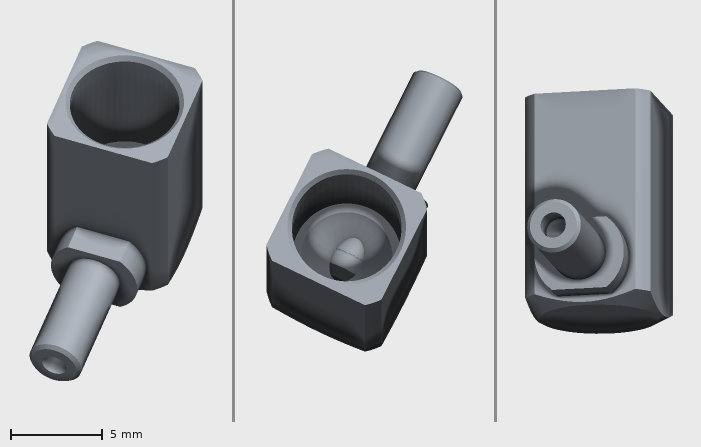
import cadquery as cq
import math

WIDTH = 7.0
HALF_WIDTH = WIDTH / 2
HEIGHT = 12.0
CORNER_RADIUS = 4.5
BASE_CONE_RADIUS = 3.28
BASE_CONE_ANGLE = 30.0

SOCKET_RADIUS = 3.0
SOCKET_MOUTH_CHAMFER = 0.24
SOCKET_FLOOR_Z = 4.7
SEAT_RADIUS = 2.5
SEAT_ANGLE = 30.0

STEM_RADIUS = 1.5
STEM_Z = 2.5
STEM_FRONT_Y = HALF_WIDTH - 15.0
STEM_TAIL_Y = 1.0
STEM_TAIL_CHAMFER = 0.51
STEM_TIP_CHAMFER = 0.2
GROOVE_FRONT_Y = -0.39
GROOVE_WIDTH = 0.09
GROOVE_DEPTH = 0.05
FLANGE_RADIUS = SEAT_RADIUS
FLANGE_THICKNESS = 1.5
FLANGE_ACROSS_FLATS = 3.99

TIP_HOLE_RADIUS = 0.7
TIP_HOLE_DEPTH = 1.5
DRILL_HALF_ANGLE = 59.0

STEM_BORE_END_Y = 1.5


def along_y(radius, y_start, y_end):
    """Cylinder on the stem axis between two Y positions."""
    return cq.Workplane(
        cq.Solid.makeCylinder(radius, y_end - y_start, cq.Vector(0, y_start, STEM_Z), cq.Vector(0, 1, 0))
    )


def housing_blank():
    block = cq.Workplane("XY").rect(WIDTH, WIDTH).extrude(HEIGHT)
    cone_height = (CORNER_RADIUS - BASE_CONE_RADIUS) * math.tan(math.radians(BASE_CONE_ANGLE))
    envelope = (
        cq.Workplane("XZ")
        .polyline([
            (0, 0),
            (BASE_CONE_RADIUS, 0),
            (CORNER_RADIUS, cone_height),
            (CORNER_RADIUS, HEIGHT),
            (0, HEIGHT),
        ])
        .close()
        .revolve(360, (0, 0, 0), (0, 1, 0))
    )
    return block.intersect(envelope)


def socket_cutter():
    """Chamfered socket ending in a flat floor with a conical seat."""
    seat_depth = SEAT_RADIUS * math.tan(math.radians(SEAT_ANGLE))
    return (
        cq.Workplane("XZ")
        .polyline([
            (0, SOCKET_FLOOR_Z - seat_depth),
            (SEAT_RADIUS, SOCKET_FLOOR_Z),
            (SOCKET_RADIUS, SOCKET_FLOOR_Z),
            (SOCKET_RADIUS, HEIGHT - SOCKET_MOUTH_CHAMFER),
            (SOCKET_RADIUS + SOCKET_MOUTH_CHAMFER, HEIGHT),
            (0, HEIGHT),
        ])
        .close()
        .revolve(360, (0, 0, 0), (0, 1, 0))
    )


def make_housing():
    stem_bore = along_y(STEM_RADIUS, -HALF_WIDTH, STEM_BORE_END_Y)
    return housing_blank().cut(socket_cutter()).cut(stem_bore)


def make_flange():
    """Round collar with flats on its top and bottom."""
    flange = along_y(FLANGE_RADIUS, -HALF_WIDTH - FLANGE_THICKNESS, -HALF_WIDTH)
    flats = cq.Workplane("XY").box(WIDTH, WIDTH * 2, FLANGE_ACROSS_FLATS)
    flats = flats.translate((0, -HALF_WIDTH, STEM_Z))
    return flange.intersect(flats)


def groove_cutter():
    """Ring that cuts the narrow groove around the part of the stem inside the housing."""
    groove_back_y = GROOVE_FRONT_Y + GROOVE_WIDTH
    ring = along_y(FLANGE_RADIUS, GROOVE_FRONT_Y, groove_back_y)
    return ring.cut(along_y(STEM_RADIUS - GROOVE_DEPTH, GROOVE_FRONT_Y, groove_back_y))


def tip_hole_cutter():
    hole = along_y(TIP_HOLE_RADIUS, STEM_FRONT_Y, STEM_FRONT_Y + TIP_HOLE_DEPTH)
    point_length = TIP_HOLE_RADIUS / math.tan(math.radians(DRILL_HALF_ANGLE))
    point_start = cq.Vector(0, STEM_FRONT_Y + TIP_HOLE_DEPTH, STEM_Z)
    point = cq.Solid.makeCone(TIP_HOLE_RADIUS, 0, point_length, point_start, cq.Vector(0, 1, 0))
    return hole.union(cq.Workplane(point))


def make_stem():
    shaft = along_y(STEM_RADIUS, STEM_FRONT_Y, STEM_TAIL_Y)
    shaft = shaft.faces("<Y").chamfer(STEM_TIP_CHAMFER)
    shaft = shaft.faces(">Y").chamfer(STEM_TAIL_CHAMFER)
    return shaft.union(make_flange()).cut(groove_cutter()).cut(tip_hole_cutter())


housing = make_housing()
stem = make_stem()
result = cq.Compound.makeCompound([housing.val(), stem.val()])